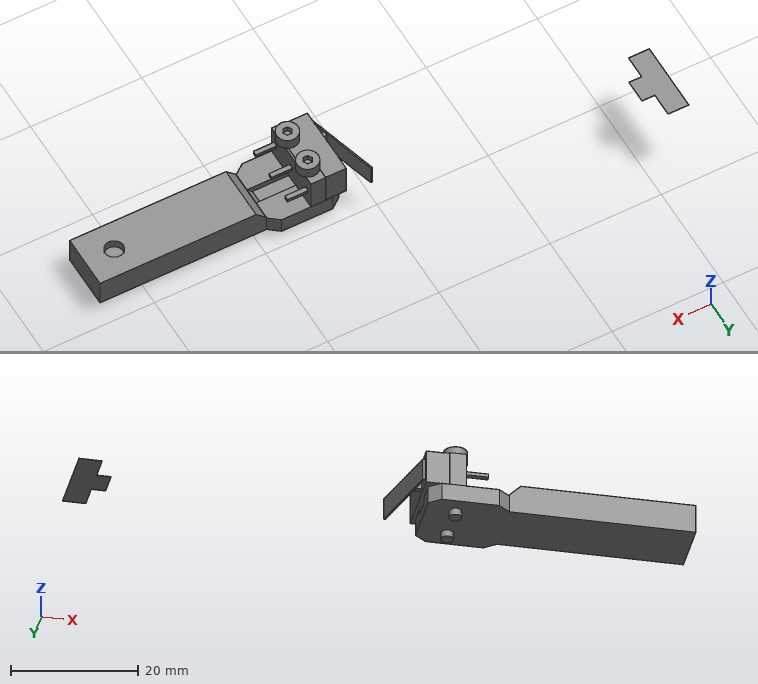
import cadquery as cq
import math


ARM_START = 0.6
ARM_END = 43.5
ARM_WIDTH = 9.8
ARM_HEIGHT = 5.0
HEAD_HEIGHT = 3.0
RAMP_START = 13.6
RAMP_STEP = 0.2
CORNER_LENGTH = 1.9
SLOT_WIDTH = 3.0
SLOT_DEPTH = 1.1
MOUNT_HOLE_X = 38.3
MOUNT_HOLE_DIAMETER = 3.3
MOUNT_HOLE_DEPTH = 1.5

SWITCH_LENGTH = 6.4
SWITCH_WIDTH = 12.8
SWITCH_HEIGHT = 5.85
SWITCH_FRONT_LENGTH = 3.7
SIDE_STEP = 0.1
SWITCH_FRONT_WIDTH = SWITCH_WIDTH - 2 * SIDE_STEP

LABEL_THICKNESS = 0.1
LABEL_BAR_LENGTH = SWITCH_FRONT_LENGTH
LABEL_LENGTH = 6.0
LABEL_TAB_WIDTH = 4.2
LABEL_X = -52.4
LABEL_Y = 16.5

SCREW_X = 5.3
SCREW_SPACING = 6.5
SHANK_DIAMETER = 2.0
SHANK_LENGTH = 10.0
SCREW_HEAD_DIAMETER = 3.8
SCREW_HEAD_HEIGHT = 2.0
SOCKET_FLATS = 1.4
SOCKET_DEPTH = 1.0

LEVER_HEIGHT = 3.7
LEVER_THICKNESS = 0.3
LEVER_TIP_X = -4.0
LEVER_TIP_Y = 7.5
LEVER_HEEL_X = -0.4
LEVER_HEEL_Y = -5.2
PLUNGER_Y = -2.0
PLUNGER_WIDTH = 0.9

TERMINAL_LENGTH = 3.7
TERMINAL_WIDTH = 0.9
TERMINAL_THICKNESS = 0.6
TERMINAL_PITCH = 5.1

SWITCH_TOP = HEAD_HEIGHT + SWITCH_HEIGHT
SWITCH_MIDDLE = HEAD_HEIGHT + SWITCH_HEIGHT / 2
SCREW_TOP = SWITCH_TOP + SCREW_HEAD_HEIGHT
SCREW_POINTS = [(SCREW_X, -SCREW_SPACING / 2), (SCREW_X, SCREW_SPACING / 2)]
LEVER_BOTTOM = SWITCH_MIDDLE - LEVER_HEIGHT / 2
LEVER_SLOPE = (LEVER_TIP_X - LEVER_HEEL_X) / (LEVER_TIP_Y - LEVER_HEEL_Y)


def screw_holes():
    """Two shank-sized cutters that run through the switch and the head of the arm."""
    return (
        cq.Workplane("XY")
        .pushPoints(SCREW_POINTS)
        .circle(SHANK_DIAMETER / 2)
        .extrude(SWITCH_TOP)
    )


def make_arm():
    half_head = SWITCH_WIDTH / 2
    half_arm = ARM_WIDTH / 2
    plan = [
        (ARM_START, half_arm),
        (ARM_START + CORNER_LENGTH, half_head),
        (RAMP_START - CORNER_LENGTH, half_head),
        (RAMP_START, half_arm),
        (ARM_END, half_arm),
    ]
    mirrored = [(x, -y) for x, y in reversed(plan)]
    arm = cq.Workplane("XY").polyline(plan + mirrored).close().extrude(ARM_HEIGHT)

    ramp_run = ARM_HEIGHT - HEAD_HEIGHT - RAMP_STEP
    above_head = (
        cq.Workplane("XZ")
        .moveTo(0, HEAD_HEIGHT)
        .lineTo(RAMP_START, HEAD_HEIGHT)
        .lineTo(RAMP_START, HEAD_HEIGHT + RAMP_STEP)
        .lineTo(RAMP_START + ramp_run, ARM_HEIGHT)
        .lineTo(0, ARM_HEIGHT)
        .close()
        .extrude(SWITCH_WIDTH / 2, both=True)
    )

    slot = (
        cq.Workplane("XZ")
        .moveTo(0, HEAD_HEIGHT)
        .lineTo(0, HEAD_HEIGHT - SLOT_DEPTH)
        .lineTo(RAMP_START - SLOT_DEPTH, HEAD_HEIGHT - SLOT_DEPTH)
        .lineTo(RAMP_START, HEAD_HEIGHT)
        .close()
        .extrude(SLOT_WIDTH / 2, both=True)
    )

    mount_hole = (
        cq.Workplane("XY", origin=(MOUNT_HOLE_X, 0, ARM_HEIGHT - MOUNT_HOLE_DEPTH))
        .circle(MOUNT_HOLE_DIAMETER / 2)
        .extrude(MOUNT_HOLE_DEPTH)
    )
    return arm.cut(above_head).cut(slot).cut(mount_hole).cut(screw_holes())


def make_label(x, y, bottom):
    """T-shaped sheet: a bar across the full switch width with a tab toward +X."""
    bar = cq.Workplane("XY").box(
        LABEL_BAR_LENGTH, SWITCH_WIDTH, LABEL_THICKNESS, centered=(False, True, False)
    )
    tab = cq.Workplane("XY").box(
        LABEL_LENGTH, LABEL_TAB_WIDTH, LABEL_THICKNESS, centered=(False, True, False)
    )
    return bar.union(tab).translate((x, y, bottom))


def make_switch():
    """Housing in two tiers along X, the front one slightly narrower, with the label recess on top."""
    front = cq.Workplane("XY", origin=(0, 0, HEAD_HEIGHT)).box(
        SWITCH_FRONT_LENGTH, SWITCH_FRONT_WIDTH, SWITCH_HEIGHT, centered=(False, True, False)
    )
    rear = cq.Workplane("XY", origin=(SWITCH_FRONT_LENGTH, 0, HEAD_HEIGHT)).box(
        SWITCH_LENGTH - SWITCH_FRONT_LENGTH, SWITCH_WIDTH, SWITCH_HEIGHT, centered=(False, True, False)
    )
    label_recess = make_label(0, 0, SWITCH_TOP - LABEL_THICKNESS)
    return front.union(rear).cut(label_recess).cut(screw_holes())


def make_screw(x, y):
    """Hexagon socket cap screw whose head rests on the switch."""
    shank = (
        cq.Workplane("XY", origin=(x, y, SWITCH_TOP - SHANK_LENGTH))
        .circle(SHANK_DIAMETER / 2)
        .extrude(SHANK_LENGTH)
    )
    head = (
        cq.Workplane("XY", origin=(x, y, SWITCH_TOP))
        .circle(SCREW_HEAD_DIAMETER / 2)
        .extrude(SCREW_HEAD_HEIGHT)
    )
    socket_corners = SOCKET_FLATS / math.cos(math.radians(30))
    socket = (
        cq.Workplane("XY", origin=(x, y, SCREW_TOP - SOCKET_DEPTH))
        .polygon(6, socket_corners)
        .extrude(SOCKET_DEPTH)
    )
    return shank.union(head).cut(socket)


def lever_back_x(y):
    """X of the lever's back face at a given Y."""
    return LEVER_HEEL_X + LEVER_THICKNESS + LEVER_SLOPE * (y - LEVER_HEEL_Y)


def make_lever():
    """Straight slanted strip whose heel is cut obliquely, down to the switch's front face."""
    heel_contact_y = LEVER_HEEL_Y - (LEVER_HEEL_X + LEVER_THICKNESS) / LEVER_SLOPE
    return (
        cq.Workplane("XY", origin=(0, 0, LEVER_BOTTOM))
        .moveTo(LEVER_TIP_X, LEVER_TIP_Y)
        .lineTo(LEVER_HEEL_X, LEVER_HEEL_Y)
        .lineTo(0, heel_contact_y)
        .lineTo(lever_back_x(LEVER_TIP_Y), LEVER_TIP_Y)
        .close()
        .extrude(LEVER_HEIGHT)
    )


def make_plunger():
    """Flat-ended button on the switch's front face; its -Y edge touches the back of the lever."""
    low_y = PLUNGER_Y - PLUNGER_WIDTH / 2
    reach = -lever_back_x(low_y)
    return cq.Workplane("XY", origin=(-reach, PLUNGER_Y, LEVER_BOTTOM)).box(
        reach, PLUNGER_WIDTH, LEVER_HEIGHT, centered=(False, True, False)
    )


def make_terminal(y):
    """Flat contact blade standing out of the rear face of the switch."""
    return cq.Workplane("XY", origin=(SWITCH_LENGTH, y, SWITCH_MIDDLE)).box(
        TERMINAL_LENGTH, TERMINAL_WIDTH, TERMINAL_THICKNESS, centered=(False, True, True)
    )


arm = make_arm()
switch = make_switch()
label = make_label(LABEL_X, LABEL_Y, SCREW_TOP - LABEL_THICKNESS)
lever = make_lever()
plunger = make_plunger()
screws = [make_screw(x, y) for x, y in SCREW_POINTS]
terminals = [make_terminal(row * TERMINAL_PITCH) for row in (-1, 0, 1)]

bodies = [arm, switch, label, lever, plunger] + screws + terminals
result = cq.Compound.makeCompound([body.val() for body in bodies])